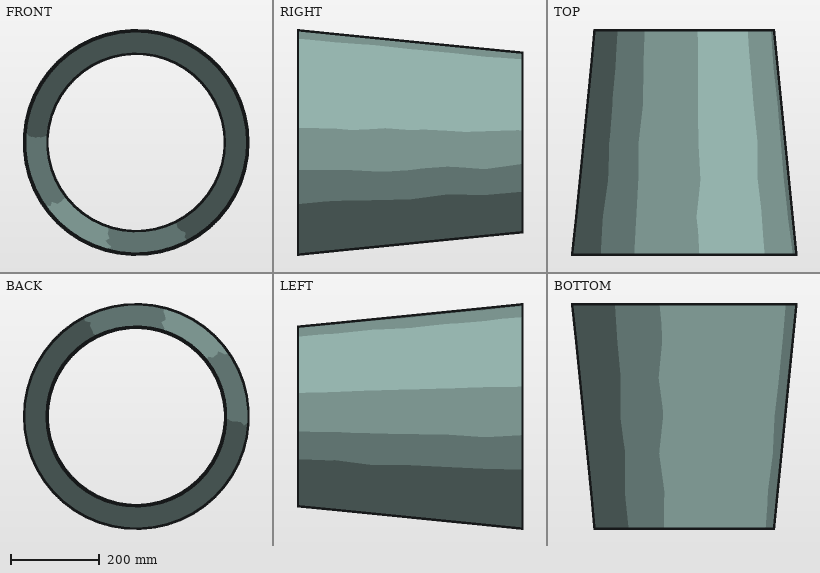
import cadquery as cq

length = 508.0
large_diameter = 508.0
small_diameter = 406.5
wall = 3.0

large_radius = large_diameter / 2
small_radius = small_diameter / 2
half_length = length / 2

wall_section = (
    cq.Workplane("XY")
    .moveTo(large_radius, -half_length)
    .lineTo(small_radius, half_length)
    .lineTo(small_radius - wall, half_length)
    .lineTo(large_radius - wall, -half_length)
    .close()
)

result = wall_section.revolve(360, (0, 0, 0), (0, 1, 0))